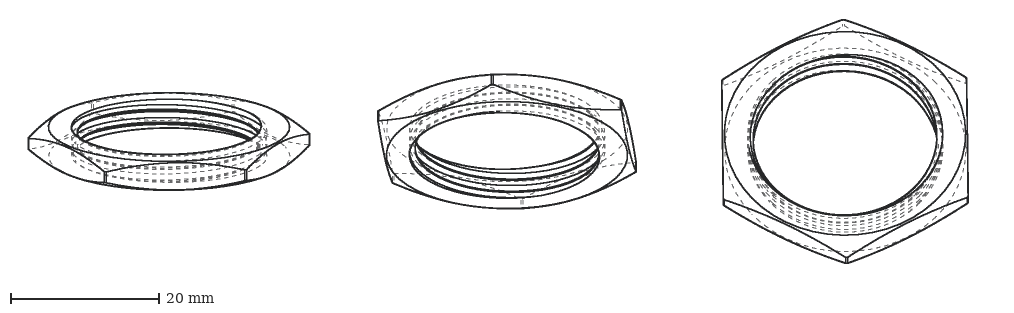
import cadquery as cq
import math

side_count = 6
across_flats = 33.0
thickness = 4.06
corner_diameter = 37.95
face_diameter = 32.5
chamfer_angle = 25.0

pitch = 1.814
minor_diameter = 24.75
major_diameter = 26.3
flank_half_angle = 27.5
crest_width = 0.16
crest_angle = 5.5

minor_radius = minor_diameter / 2
major_radius = major_diameter / 2
runout_turns = 1.5
bore_overlap = 0.05
bore_overrun = 1.0


def hexagon_blank():
    """Hexagonal prism with one pair of flats facing +X and -X."""
    half_side_angle = 180 / side_count
    across_corners = across_flats / math.cos(math.radians(half_side_angle))
    hexagon = cq.Workplane("XY").polygon(side_count, across_corners).extrude(thickness)
    return hexagon.rotate((0, 0, 0), (0, 0, 1), half_side_angle)


def turned_envelope():
    """Body of revolution that chamfers and blunts the hexagon corners at both ends."""
    face_radius = face_diameter / 2
    corner_radius = corner_diameter / 2
    chamfer_height = (corner_radius - face_radius) * math.tan(math.radians(chamfer_angle))
    profile = [
        (0, 0),
        (face_radius, 0),
        (corner_radius, chamfer_height),
        (corner_radius, thickness - chamfer_height),
        (face_radius, thickness),
        (0, thickness),
    ]
    return cq.Workplane("XZ").polyline(profile).close().revolve(360, (0, 0), (0, 1))


def minor_bore():
    """Cylinder cutter for the bore at the thread crests."""
    start = cq.Workplane("XY").workplane(offset=-bore_overrun)
    return start.circle(minor_radius).extrude(thickness + 2 * bore_overrun)


def thread_groove():
    """Helical groove between the thread ridges, running out past both end faces."""
    flank_slope = math.tan(math.radians(flank_half_angle))
    root_half_width = (pitch - crest_width) / 2 - (major_radius - minor_radius) * flank_slope
    inner_radius = minor_radius - bore_overlap
    inner_half_width = root_half_width + (major_radius - inner_radius) * flank_slope
    turns = math.ceil(thickness / pitch + 2 * runout_turns)
    helix = cq.Wire.makeHelix(pitch, turns * pitch, minor_radius)
    profile = [
        (inner_radius, -inner_half_width),
        (major_radius, -root_half_width),
        (major_radius, root_half_width),
        (inner_radius, inner_half_width),
    ]
    groove = cq.Workplane("XZ").polyline(profile).close().sweep(cq.Workplane(helix), isFrenet=True)
    start_height = thickness + (runout_turns - turns) * pitch
    groove = groove.translate((0, 0, start_height))
    return groove.rotate((0, 0, 0), (0, 0, 1), crest_angle)


blank = hexagon_blank().intersect(turned_envelope())
result = blank.cut(thread_groove()).cut(minor_bore())